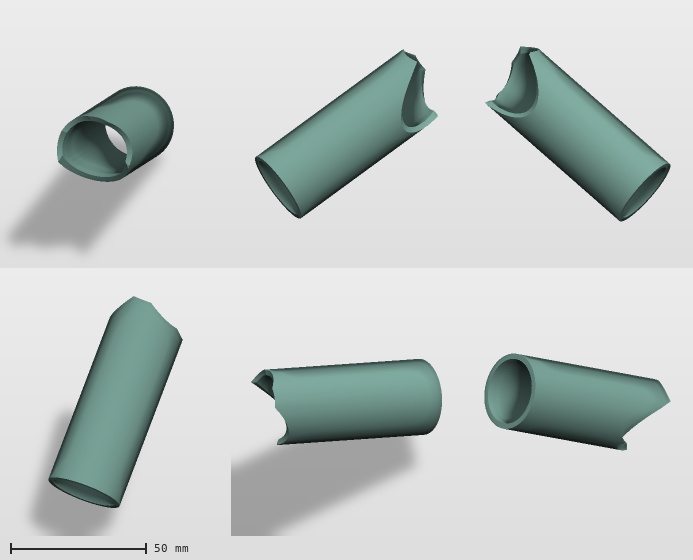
import cadquery as cq
import math

outer_diameter = 28.0
inner_diameter = 24.05
outer_radius = outer_diameter / 2
inner_radius = inner_diameter / 2
tilt = 30.0
node_distance = 80.45

main_radius = 14.95
crossing_tubes = [
    (main_radius, 130.3, 277.3),
    (outer_radius, 124.5, 266.5),
    (outer_radius, 97.5, 5.3),
    (outer_radius, 82.8, 151.1),
    (outer_radius, 89.7, 183.8),
]
crossing_half_length = 2 * node_distance


def straight_tube():
    """Tube along +Z with its square end at the origin, reaching up to the node."""
    return cq.Workplane("XY").circle(outer_radius).circle(inner_radius).extrude(node_distance)


def crossing_tube(radius, polar_angle, around_angle):
    """Solid cylinder through the node along the given direction, long both ways."""
    polar = math.radians(polar_angle)
    around = math.radians(around_angle)
    direction = cq.Vector(
        math.sin(polar) * math.cos(around),
        math.sin(polar) * math.sin(around),
        math.cos(polar),
    )
    node = cq.Vector(0, 0, node_distance)
    start = node - direction * crossing_half_length
    return cq.Solid.makeCylinder(radius, 2 * crossing_half_length, start, direction)


strut = straight_tube()
for radius, polar_angle, around_angle in crossing_tubes:
    strut = strut.cut(cq.Workplane(obj=crossing_tube(radius, polar_angle, around_angle)))

result = strut.rotate((0, 0, 0), (1, 0, 0), 90 - tilt)